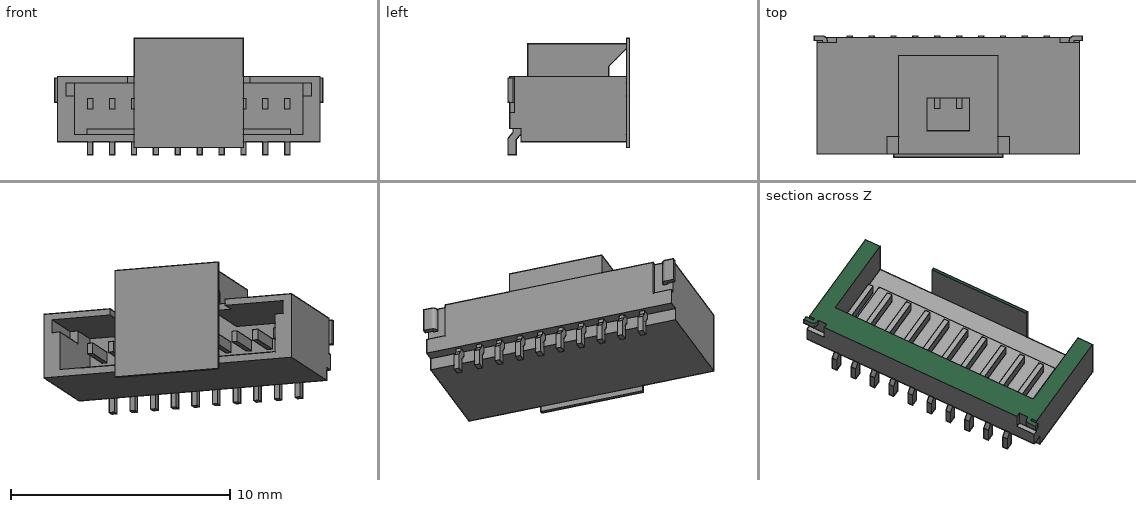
import cadquery as cq


housing_width = 12.0
housing_depth = 5.32
housing_height = 2.99
rear_step_depth = 0.51
rear_step_height = 0.6

cavity_width = 10.43
cavity_depth = 4.06
floor_thickness = 0.33
roof_thickness = 0.29
cavity_top = housing_height - roof_thickness
side_groove_depth = 0.38
side_groove_height = 0.6
side_groove_length = 2.45

shelf_width = 9.29
shelf_height = 0.26
shelf_front = 1.08

tower_width = 4.53
tower_depth = 4.5
tower_rise = 1.49
tower_side_wall = 0.37
tower_roof_thickness = 0.43
tower_top = housing_height + tower_rise
tower_lip_height = 0.23
tower_setback = 0.8
window_width = 1.92
window_front = 1.05
window_depth = 1.5
roof_slot_width = 5.58

pin_count = 10
pin_row_span = 9.0
pin_pitch = pin_row_span / (pin_count - 1)
pin_width = 0.25
pin_height = 0.49
pin_bottom = 1.49
pin_tip = 2.09
tail_thickness = 0.38
tail_length = 0.6
tail_offset = 0.22
tail_bend_top = 0.43
tail_bend_bottom = 0.16
tail_inner_drop = 0.06
rear_overhang = 0.07

overall_width = 12.24
tab_thickness = 0.22
tab_bottom = 1.8
tab_height = 1.11
tab_length = 0.38
pocket_width = 0.9
pocket_depth = 0.22
pocket_bottom = 1.33

plate_size = 5.0
plate_thickness = 0.15
plate_drop = 0.27


def box(width, depth, height, front, bottom, center_x=0.0):
    """Block centred on center_x, with its front face and underside at the given places."""
    return cq.Workplane("XY").box(width, depth, height, centered=(True, False, False)).translate(
        (center_x, front, bottom)
    )


def extrude_along_x(outline, width, center_x=0.0):
    """Solid with a (Y, Z) outline and its width centred on center_x."""
    solid = cq.Workplane("YZ").polyline(outline).close().extrude(width / 2, both=True)
    return solid.translate((center_x, 0, 0))


def make_shell():
    """Outer block of the housing with the step under its rear edge."""
    block = box(housing_width, housing_depth, housing_height, 0, 0)
    step = box(housing_width, rear_step_depth, rear_step_height, housing_depth - rear_step_depth, 0)
    return block.cut(step)


def make_tower():
    """Latch tower whose front is cut back below a lip."""
    lip_bottom = tower_top - tower_lip_height
    outline = [
        (0, tower_top),
        (tower_depth, tower_top),
        (tower_depth, cavity_top),
        (tower_setback, cavity_top),
        (tower_setback, lip_bottom - tower_setback),
        (0, lip_bottom),
    ]
    return extrude_along_x(outline, tower_width)


def make_cavity():
    """Space for the mating plug, with grooves along its upper side walls and room inside the tower."""
    main = box(cavity_width, cavity_depth, cavity_top - floor_thickness, 0, floor_thickness)
    grooves = box(
        cavity_width + 2 * side_groove_depth,
        side_groove_length,
        side_groove_height,
        0,
        cavity_top - side_groove_height,
    )
    tower_room = box(
        tower_width - 2 * tower_side_wall,
        cavity_depth,
        tower_top - tower_roof_thickness - cavity_top,
        0,
        cavity_top,
    )
    return main.union(grooves).union(tower_room)


def make_pin(center_x):
    """Straight contact that joins a cranked solder tail inside the rear wall."""
    tail_rear = housing_depth + rear_overhang
    upper_rear = tail_rear - tail_offset
    contact = box(pin_width, upper_rear - pin_tip, pin_height, pin_tip, pin_bottom, center_x)
    tail_outline = [
        (upper_rear, pin_bottom),
        (upper_rear, tail_bend_top),
        (tail_rear, tail_bend_bottom),
        (tail_rear, -tail_length),
        (tail_rear - tail_thickness, -tail_length),
        (tail_rear - tail_thickness, tail_bend_bottom - tail_inner_drop),
        (upper_rear - tail_thickness, tail_bend_top - tail_inner_drop),
        (upper_rear - tail_thickness, pin_bottom),
    ]
    return contact.union(extrude_along_x(tail_outline, pin_width, center_x))


def make_left_pocket():
    """Rear corner recess that gives the left solder tab its clearance."""
    return box(
        pocket_width,
        pocket_depth,
        housing_height - pocket_bottom,
        housing_depth - pocket_depth,
        pocket_bottom,
        (pocket_width - housing_width) / 2,
    )


def make_left_tab():
    """Left solder tab, bent outward from the pocket floor with a rounded outer corner."""
    outer_x = -overall_width / 2
    bend_x = outer_x + tab_length
    rear_y = housing_depth + rear_overhang
    inner_y = rear_y - tab_thickness
    pocket_floor_y = housing_depth - pocket_depth
    return (
        cq.Workplane("XY", origin=(0, 0, tab_bottom))
        .moveTo(outer_x, inner_y)
        .lineTo(outer_x, rear_y)
        .lineTo(bend_x, rear_y)
        .radiusArc((bend_x + tab_thickness, inner_y), tab_thickness)
        .lineTo(bend_x + tab_thickness, pocket_floor_y)
        .lineTo(bend_x, pocket_floor_y)
        .lineTo(bend_x, inner_y)
        .close()
        .extrude(tab_height)
    )


def make_connector():
    """Housing with its tower, contacts and solder tabs as one solid."""
    roof_slot = box(roof_slot_width, tower_setback, roof_thickness, 0, cavity_top)
    window = box(window_width, window_depth, tower_rise, window_front, housing_height)
    shelf = box(shelf_width, cavity_depth - shelf_front, shelf_height, shelf_front, floor_thickness)
    pocket = make_left_pocket()
    tab = make_left_tab()

    body = make_shell().cut(roof_slot).union(make_tower())
    body = body.cut(make_cavity()).cut(window).union(shelf)
    body = body.cut(pocket).cut(pocket.mirror("YZ"))
    body = body.union(tab).union(tab.mirror("YZ"))
    for index in range(pin_count):
        center_x = index * pin_pitch - pin_row_span / 2
        body = body.union(make_pin(center_x))
    return body


def make_pick_up_plate():
    """Flat plate lying against the mating face and the lip of the tower."""
    return box(plate_size, plate_thickness, plate_size, -plate_thickness, -plate_drop)


connector = make_connector()
pick_up_plate = make_pick_up_plate()

result = cq.Compound.makeCompound([connector.val(), pick_up_plate.val()])